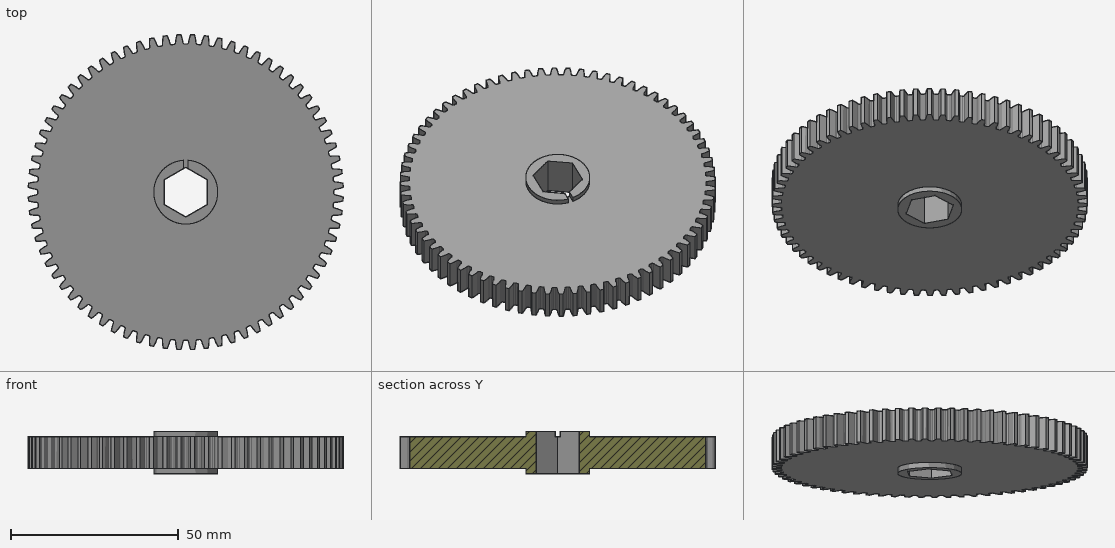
import cadquery as cq
import math

outer_size = 93.9
tooth_count = 72
module = outer_size / (tooth_count + 2)
pressure_angle = math.radians(14.5)
tooth_depth = 2.8
backlash = 0.07
root_fillet = 0.5

overall_height = 12.7
face_width = 9.5
hub_step = (overall_height - face_width) / 2

hub_diameter = 19.1
hex_across_flats = 12.8
hex_across_corners = hex_across_flats / math.cos(math.pi / 6)
slot_width = 1.4

pitch_radius = module * tooth_count / 2
base_radius = pitch_radius * math.cos(pressure_angle)
tooth_pitch = 2 * math.pi / tooth_count


def involute(angle):
    return math.tan(angle) - angle


def half_tooth_angle(radius):
    """Angle from tooth centre to flank: involute above the base circle, radial below it."""
    local_pressure_angle = math.acos(min(1.0, base_radius / radius))
    half_angle_at_pitch = tooth_pitch / 4 - backlash / 2 / pitch_radius
    return half_angle_at_pitch + involute(pressure_angle) - involute(local_pressure_angle)


corner_angle = tooth_pitch / 2 - half_tooth_angle(outer_size / 2)
tip_radius = outer_size / 2 / math.cos(corner_angle)
root_radius = tip_radius - tooth_depth


def polar(radius, angle):
    return (radius * math.cos(angle), radius * math.sin(angle))


def flank_point(radius, gap_angle, side):
    """Point on the flank above (side 1) or below (side -1) the centre line of a gap."""
    return polar(radius, gap_angle + side * (tooth_pitch / 2 - half_tooth_angle(radius)))


def make_toothed_disc():
    """Gear body: at each gap, a flank in, the root arc, a flank out, then the next tooth tip."""
    mid_radius = (root_radius + tip_radius) / 2
    outline = (
        cq.Workplane("XY", origin=(0, 0, -face_width / 2))
        .moveTo(*flank_point(tip_radius, 0, -1))
    )
    for index in range(tooth_count):
        gap_angle = index * tooth_pitch
        tooth_angle = gap_angle + tooth_pitch / 2
        next_gap_angle = gap_angle + tooth_pitch
        root_start = flank_point(root_radius, gap_angle, -1)
        root_end = flank_point(root_radius, gap_angle, 1)
        tip_start = flank_point(tip_radius, gap_angle, 1)
        tip_end = flank_point(tip_radius, next_gap_angle, -1)
        outline = (
            outline
            .threePointArc(flank_point(mid_radius, gap_angle, -1), root_start)
            .threePointArc(polar(root_radius, gap_angle), root_end)
            .threePointArc(flank_point(mid_radius, gap_angle, 1), tip_start)
            .threePointArc(polar(tip_radius, tooth_angle), tip_end)
        )
    face = cq.Face.makeFromWires(outline.close().val())
    root_corners = [
        vertex for vertex in face.Vertices()
        if math.hypot(vertex.X, vertex.Y) < mid_radius
    ]
    rounded_face = face.fillet2D(root_fillet, root_corners)
    return cq.Workplane("XY").add(cq.Solid.extrudeLinear(rounded_face, cq.Vector(0, 0, face_width)))


def make_hub():
    """Round hub that stands out equally from both faces of the disc."""
    return (
        cq.Workplane("XY", origin=(0, 0, -overall_height / 2))
        .circle(hub_diameter / 2)
        .extrude(overall_height)
    )


def make_hex_bore():
    """Through bore with one corner on the +Y axis."""
    return (
        cq.Workplane("XY")
        .transformed(rotate=(0, 0, 90))
        .polygon(6, hex_across_corners)
        .extrude(overall_height, both=True)
    )


def make_timing_slot():
    """Slot across the upper hub step, from the bore corner out along +Y."""
    return (
        cq.Workplane("XY")
        .workplane(offset=face_width / 2)
        .rect(slot_width, hub_diameter)
        .extrude(hub_step)
        .translate((0, hub_diameter / 2, 0))
    )


result = make_toothed_disc().union(make_hub()).cut(make_hex_bore()).cut(make_timing_slot())